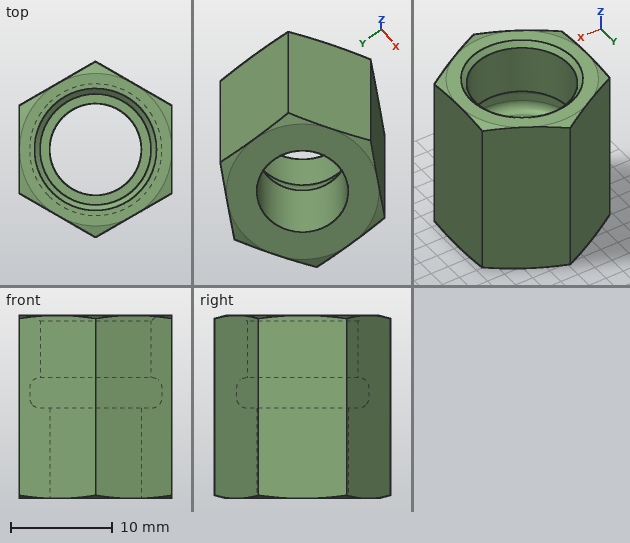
import cadquery as cq
import math

height = 18.0
across_flats = 15.0
across_corners = across_flats / math.cos(math.pi / 6)

corner_angle = math.radians(15)
corner_overhang = (across_corners - across_flats) / 2
corner_drop = corner_overhang * math.tan(corner_angle)

through_diameter = 9.0
bore_diameter = 10.9
bore_depth = 9.09
mouth_diameter = 12.0
mouth_depth = (mouth_diameter - bore_diameter) / 2

groove_diameter = 13.0
groove_width = 3.0
groove_corner_radius = 1.0


def hexagon_body():
    """Hexagonal prism with two corners on the Y axis."""
    return (
        cq.Workplane("XY")
        .polygon(6, across_corners)
        .extrude(height)
        .rotate((0, 0, 0), (0, 0, 1), 30)
    )


def corner_envelope():
    """Solid of revolution whose conical ends trim the hexagon corners."""
    flat_radius = across_flats / 2
    corner_radius = across_corners / 2
    profile = [
        (0, 0),
        (flat_radius, 0),
        (corner_radius, corner_drop),
        (corner_radius, height - corner_drop),
        (flat_radius, height),
        (0, height),
    ]
    return cq.Workplane("XZ").polyline(profile).close().revolve(360, (0, 0, 0), (0, 1, 0))


def stepped_bore():
    """Through hole, relief groove, wider upper bore and its 45 degree mouth."""
    through_radius = through_diameter / 2
    bore_radius = bore_diameter / 2
    mouth_radius = mouth_diameter / 2
    groove_radius = groove_diameter / 2
    floor = height - bore_depth
    groove_top = floor + groove_width
    corner_start = groove_radius - groove_corner_radius
    corner_inset = groove_corner_radius * (1 - math.sqrt(0.5))
    arc_middle = groove_radius - corner_inset
    return (
        cq.Workplane("XZ")
        .lineTo(through_radius, 0)
        .lineTo(through_radius, floor)
        .lineTo(corner_start, floor)
        .threePointArc(
            (arc_middle, floor + corner_inset),
            (groove_radius, floor + groove_corner_radius),
        )
        .lineTo(groove_radius, groove_top - groove_corner_radius)
        .threePointArc(
            (arc_middle, groove_top - corner_inset),
            (corner_start, groove_top),
        )
        .lineTo(bore_radius, groove_top)
        .lineTo(bore_radius, height - mouth_depth)
        .lineTo(mouth_radius, height)
        .lineTo(0, height)
        .close()
        .revolve(360, (0, 0, 0), (0, 1, 0))
    )


result = hexagon_body().intersect(corner_envelope()).cut(stepped_bore())